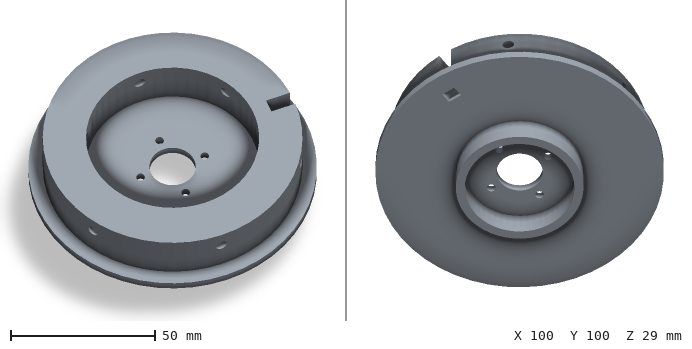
import cadquery as cq

flange_diameter = 100
flange_thickness = 3
drum_diameter = 90
drum_height = 17
hub_diameter = 44.2
hub_height = 9
flange_top = hub_height + flange_thickness
total_height = flange_top + drum_height

drum_bore_diameter = 60
hub_bore_diameter = 38
center_hole_diameter = 16

screw_hole_diameter = 3
screw_circle_diameter = 24
screw_count = 4

radial_hole_diameter = 4
radial_hole_count = 6
radial_hole_drop = 6

slot_center_y = 41
slot_width = 5
slot_length = 10
slot_opening_length = 4
slot_floor_thickness = flange_thickness / 2


def cylinder(diameter, bottom, height):
    """Upright cylinder on the Z axis."""
    return cq.Workplane("XY").workplane(offset=bottom).circle(diameter / 2).extrude(height)


def slot_block(length, bottom):
    """Block centered on the slot, reaching up to the drum top."""
    return (
        cq.Workplane("XY")
        .workplane(offset=bottom)
        .center(0, slot_center_y)
        .rect(slot_width, length)
        .extrude(total_height - bottom)
    )


def radial_holes():
    """Evenly spaced holes running outward from the axis, the first along +X."""
    hole = (
        cq.Workplane("YZ")
        .center(0, total_height - radial_hole_drop)
        .circle(radial_hole_diameter / 2)
        .extrude(flange_diameter / 2)
    )
    holes = hole
    for index in range(1, radial_hole_count):
        angle = index * 360 / radial_hole_count
        holes = holes.union(hole.rotate((0, 0, 0), (0, 0, 1), angle))
    return holes


def screw_holes():
    """Vertical holes on the screw circle."""
    return (
        cq.Workplane("XY")
        .polarArray(screw_circle_diameter / 2, 0, 360, screw_count)
        .circle(screw_hole_diameter / 2)
        .extrude(total_height)
    )


body = (
    cylinder(hub_diameter, 0, hub_height)
    .union(cylinder(flange_diameter, hub_height, flange_thickness))
    .union(cylinder(drum_diameter, flange_top, drum_height))
)

result = (
    body.cut(cylinder(drum_bore_diameter, flange_top, drum_height))
    .cut(cylinder(hub_bore_diameter, 0, hub_height))
    .cut(cylinder(center_hole_diameter, 0, total_height))
    .cut(screw_holes())
    .cut(radial_holes())
    .cut(slot_block(slot_length, hub_height + slot_floor_thickness))
    .cut(slot_block(slot_opening_length, hub_height))
)